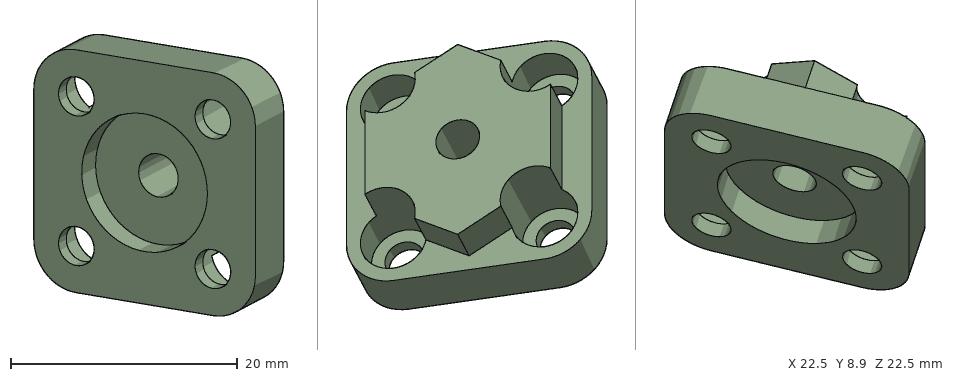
import cadquery as cq
import math

plate_side = 22.47
plate_thickness = 5.1
total_depth = 8.9
corner_radius = 4.31

hex_across_flats = 16.99
hex_across_corners = hex_across_flats / math.cos(math.pi / 6)
boss_height = total_depth - plate_thickness

pocket_diameter = 12.75
pocket_depth = 2.5
bore_diameter = 4.0

screw_offset = plate_side / 2 - corner_radius
screw_diameter = 3.6
screw_head_diameter = 6.07
screw_seat_depth = 1.4


def cylinder(diameter, y_start, y_end, x=0, z=0):
    """Cylinder along +Y between two depths."""
    return cq.Workplane(
        obj=cq.Solid.makeCylinder(
            diameter / 2, y_end - y_start, cq.Vector(x, y_start, z), cq.Vector(0, 1, 0)
        )
    )


def make_plate():
    outline = cq.Workplane("XZ").rect(plate_side, plate_side)
    return outline.extrude(-plate_thickness).edges("|Y").fillet(corner_radius)


def make_boss():
    return (
        cq.Workplane("XZ", origin=(0, plate_thickness, 0))
        .transformed(rotate=(0, 0, 90))
        .polygon(6, hex_across_corners)
        .extrude(-boss_height)
    )


result = make_plate().union(make_boss())
result = result.cut(cylinder(pocket_diameter, 0, pocket_depth))
result = result.cut(cylinder(bore_diameter, 0, total_depth))

for x in (-screw_offset, screw_offset):
    for z in (-screw_offset, screw_offset):
        result = result.cut(cylinder(screw_diameter, 0, plate_thickness, x, z))
        result = result.cut(cylinder(screw_head_diameter, screw_seat_depth, total_depth, x, z))